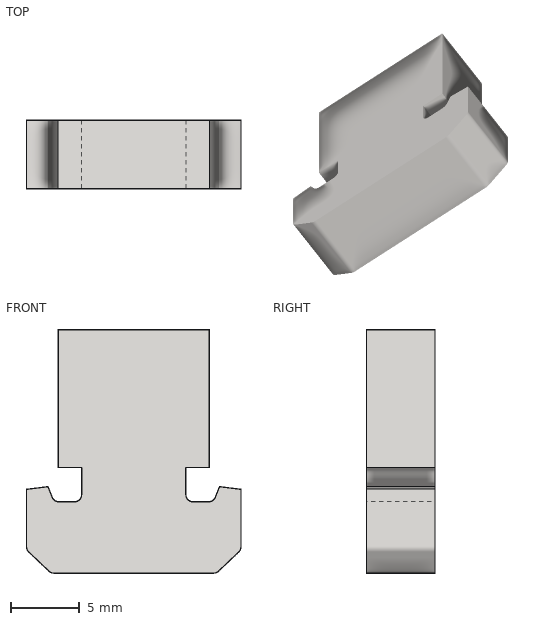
import cadquery as cq

width = 15.6
thickness = 5.0
height = 17.7

block_width = 11.01
block_bottom = 7.68
neck_width = 7.6

groove_floor = 5.2
groove_foot = 5.79
groove_radius = 0.5

lip_tip_x = 6.23
lip_tip_z = 6.3
lip_outer_z = 6.1
lip_radius = 0.05

chamfer_width = 1.79
chamfer_height = 1.7
chamfer_radius = 0.5

half_width = width / 2
half_profile = [
    (0, 0),
    (half_width - chamfer_width, 0),
    (half_width, chamfer_height),
    (half_width, lip_outer_z),
    (lip_tip_x, lip_tip_z),
    (groove_foot, groove_floor),
    (neck_width / 2, groove_floor),
    (neck_width / 2, block_bottom),
    (block_width / 2, block_bottom),
    (block_width / 2, height),
    (0, height),
]


def round_corners(body, x, z, radius):
    """Round the thickness-wise edges at (x, z) and its mirror image."""
    reach = 0.02
    for side in (-1, 1):
        edge = cq.selectors.BoxSelector(
            (side * x - reach, -thickness, z - reach),
            (side * x + reach, thickness, z + reach),
        )
        body = body.edges("|Y").edges(edge).fillet(radius)
    return body


half = cq.Workplane("XZ").polyline(half_profile).close().extrude(thickness / 2, both=True)
result = half.union(half.mirror("YZ")).clean()

result = round_corners(result, neck_width / 2, groove_floor, groove_radius)
result = round_corners(result, groove_foot, groove_floor, groove_radius)
result = round_corners(result, lip_tip_x, lip_tip_z, lip_radius)
result = round_corners(result, half_width, chamfer_height, chamfer_radius)
result = round_corners(result, half_width - chamfer_width, 0, chamfer_radius)